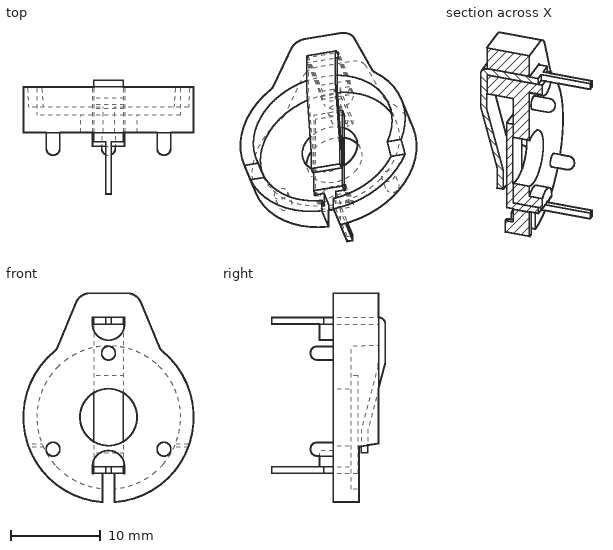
import cadquery as cq
import math


body_radius = 9.515
body_depth = 5.1
notch_width = 1.33
bottom_z = -math.sqrt(body_radius**2 - (notch_width / 2) ** 2)
top_z = bottom_z + 23.35
shoulder_half_width = 3.2
shoulder_radius = 1.75
waist_half_width = 5.81
waist_radius = 1.0
waist_z = math.sqrt(body_radius**2 - waist_half_width**2)

floor_thickness = 1.98
pocket_radius = 8.0
hole_radius = 3.18
relief_depth = 2.9
relief_back_z = -2.95
relief_front_z = -3.3

strip_thickness = 0.75
strip_width = 3.32
slot_width = 3.6
upper_slot_z = 10.76
lower_slot_z = -5.88
boss_radius = slot_width / 2
boss_height = 1.55

peg_radius = 0.77
peg_length = 2.55
peg_circle_radius = 7.15
peg_angles = (90, 210, 330)

shank_length = 1.05
pin_length = 6.86
pin_width = 0.65
bend_z = 6.07
knee_z = -1.4
tip_z = -3.97
tip_y = 3.13
contact_top_z = 4.67


def prism(profile_points, width):
    """Extrude a (y, z) profile symmetrically about x = 0."""
    return cq.Workplane("YZ").polyline(profile_points).close().extrude(width / 2, both=True)


def block(width, start_y, end_y, center_z, height):
    """Box centred on x = 0 between two y positions."""
    return cq.Workplane("XY").box(width, end_y - start_y, height).translate(
        (0, (start_y + end_y) / 2, center_z)
    )


def disc(radius, start_y, end_y):
    """Cylinder around the Y axis between two y positions."""
    return cq.Workplane("XZ", origin=(0, start_y, 0)).circle(radius).extrude(start_y - end_y)


def make_outline():
    outline = (
        cq.Workplane("XZ")
        .moveTo(-waist_half_width, waist_z)
        .lineTo(-shoulder_half_width, top_z)
        .lineTo(shoulder_half_width, top_z)
        .lineTo(waist_half_width, waist_z)
        .threePointArc((0, -body_radius), (-waist_half_width, waist_z))
        .close()
        .extrude(-body_depth)
    )
    corners = outline.edges("|Y")
    shoulders = cq.selectors.BoxSelector((-23.35, -23.35, top_z - 0.23), (23.35, 23.35, top_z + 0.23))
    waists = cq.selectors.BoxSelector((-23.35, -23.35, waist_z - 0.23), (23.35, 23.35, waist_z + 0.23))
    rounded = corners.edges(shoulders).fillet(shoulder_radius)
    return rounded.edges("|Y").edges(waists).fillet(waist_radius)


def make_peg(angle):
    x = peg_circle_radius * math.cos(math.radians(angle))
    z = peg_circle_radius * math.sin(math.radians(angle))
    dome_y = peg_radius - peg_length
    shaft = disc(peg_radius, dome_y, 0)
    dome = cq.Workplane("XY").sphere(peg_radius).translate((0, dome_y, 0))
    return shaft.union(dome).translate((x, 0, z))


def make_boss(slot_z, side):
    """Half disc whose flat lies on the slot edge; side is +1 above the slot, -1 below."""
    flat_z = slot_z + side * strip_thickness / 2
    half = block(2 * boss_radius, -boss_height, 0, side * boss_radius / 2, boss_radius)
    return disc(boss_radius, -boss_height, 0).intersect(half).translate((0, 0, flat_z))


def make_housing():
    housing = make_outline()
    housing = housing.cut(disc(pocket_radius, floor_thickness, body_depth))
    housing = housing.cut(disc(hole_radius, 0, floor_thickness))

    relief = [
        (relief_depth, relief_front_z),
        (body_depth, relief_back_z),
        (body_depth, -body_radius),
        (relief_depth, -body_radius),
    ]
    housing = housing.cut(prism(relief, 2 * body_radius))

    for slot_z in (upper_slot_z, lower_slot_z):
        housing = housing.cut(block(slot_width, 0, body_depth, slot_z, strip_thickness))

    notch_height = lower_slot_z + body_radius
    notch_center_z = (lower_slot_z - body_radius) / 2
    housing = housing.cut(block(notch_width, 0, body_depth, notch_center_z, notch_height))

    housing = housing.union(make_boss(upper_slot_z, -1))
    housing = housing.union(make_boss(lower_slot_z, 1))
    for angle in peg_angles:
        housing = housing.union(make_peg(angle))
    return housing


def make_pin(slot_z):
    return block(pin_width, -pin_length, -shank_length, slot_z, strip_thickness)


def make_spring_clip():
    """Leg through the upper slot, over the open face and down into the pocket."""
    leg_top = upper_slot_z + strip_thickness / 2
    leg_bottom = upper_slot_z - strip_thickness / 2
    outer_y = body_depth + strip_thickness
    spring = (
        cq.Workplane("YZ")
        .moveTo(-shank_length, leg_top)
        .lineTo(body_depth, leg_top)
        .radiusArc((outer_y, leg_bottom), strip_thickness)
        .lineTo(outer_y, bend_z)
        .lineTo(tip_y + strip_thickness, knee_z)
        .lineTo(tip_y + strip_thickness, tip_z)
        .lineTo(tip_y, tip_z)
        .lineTo(tip_y, knee_z)
        .lineTo(body_depth, bend_z)
        .lineTo(body_depth, leg_bottom)
        .lineTo(-shank_length, leg_bottom)
        .close()
        .extrude(strip_width / 2, both=True)
    )
    return spring.union(make_pin(upper_slot_z))


def make_contact_clip():
    """Leg through the lower slot with a strip lying on the pocket floor."""
    leg_top = lower_slot_z + strip_thickness / 2
    leg_bottom = lower_slot_z - strip_thickness / 2
    strip_back_y = floor_thickness + strip_thickness
    profile = [
        (-shank_length, leg_bottom),
        (strip_back_y, leg_bottom),
        (strip_back_y, contact_top_z),
        (floor_thickness, contact_top_z),
        (floor_thickness, leg_top),
        (-shank_length, leg_top),
    ]
    return prism(profile, strip_width).union(make_pin(lower_slot_z))


housing = make_housing()
spring_clip = make_spring_clip()
contact_clip = make_contact_clip()

result = cq.Compound.makeCompound([housing.val(), spring_clip.val(), contact_clip.val()])